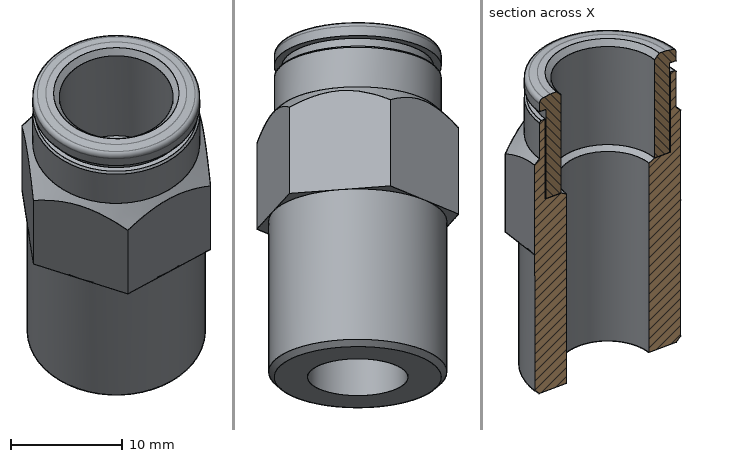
import cadquery as cq
import math

total_height = 31.5
body_diameter = 16.0
bottom_chamfer = 0.5
hex_bottom = 15.0
hex_top = 25.05
hex_across_flats = body_diameter
hex_across_corners = hex_across_flats / math.cos(math.pi / 6)
neck_diameter = 15.0
neck_top = 29.05
neck_chamfer = 0.2

stem_diameter = 13.6
stem_length = 9.45
flange_diameter = neck_diameter
flange_bottom = 30.0
flange_edge_height = 30.9
crown_outer_diameter = 14.15
crown_inner_diameter = 12.63
crown_rise = 0.13
sleeve_bore = 10.2
mouth_diameter = 11.25
mouth_depth = (mouth_diameter - sleeve_bore) / 2

recess_diameter = 13.7
recess_bottom = flange_bottom - stem_length
through_bore = 9.0
seat_angle = math.radians(30)
seat_depth = (sleeve_bore - through_bore) / 2 * math.tan(seat_angle)


def cylinder(diameter, bottom, top):
    """Vertical cylinder on the common axis."""
    return cq.Workplane("XY").workplane(offset=bottom).circle(diameter / 2).extrude(top - bottom)


def cone(bottom_diameter, top_diameter, bottom, top):
    """Vertical truncated cone on the common axis."""
    base_center = cq.Vector(0, 0, bottom)
    solid = cq.Solid.makeCone(bottom_diameter / 2, top_diameter / 2, top - bottom, base_center)
    return cq.Workplane(obj=solid)


def make_hexagon():
    """Wrench hexagon whose upper corners are trimmed by a 45 degree cone."""
    hex_height = hex_top - hex_bottom
    prism = (
        cq.Workplane("XY")
        .workplane(offset=hex_bottom)
        .polygon(6, hex_across_corners)
        .extrude(hex_height)
    )
    trim_cone = cone(neck_diameter + 2 * hex_height, neck_diameter, hex_bottom, hex_top)
    return prism.intersect(trim_cone)


def make_housing():
    """Cylindrical body, hexagon and neck, bored through and recessed for the sleeve."""
    lower_body = cylinder(body_diameter, 0, hex_bottom).faces("<Z").chamfer(bottom_chamfer)
    neck = cylinder(neck_diameter, hex_top, neck_top).faces(">Z").chamfer(neck_chamfer)
    seat = cone(through_bore, sleeve_bore, recess_bottom - seat_depth, recess_bottom)
    return (
        lower_body.union(make_hexagon())
        .union(neck)
        .cut(cylinder(through_bore, 0, neck_top))
        .cut(seat)
        .cut(cylinder(recess_diameter, recess_bottom, neck_top))
    )


def make_flange():
    """Solid button: straight edge, rounded shoulder, shallow conical crown, flat top."""
    flange_radius = flange_diameter / 2
    crown_radius = crown_outer_diameter / 2
    crown_bottom = total_height - crown_rise
    shoulder_width = flange_radius - crown_radius
    shoulder_height = crown_bottom - flange_edge_height
    shoulder_middle = (
        crown_radius + shoulder_width * math.cos(math.pi / 4),
        flange_edge_height + shoulder_height * math.sin(math.pi / 4),
    )
    return (
        cq.Workplane("XZ")
        .moveTo(0, flange_bottom)
        .lineTo(flange_radius, flange_bottom)
        .lineTo(flange_radius, flange_edge_height)
        .threePointArc(shoulder_middle, (crown_radius, crown_bottom))
        .lineTo(crown_inner_diameter / 2, total_height)
        .lineTo(0, total_height)
        .close()
        .revolve(360, (0, 0, 0), (0, 1, 0))
    )


def make_sleeve():
    """Release sleeve standing on the recess floor, with a 45 degree countersunk mouth."""
    mouth = cone(sleeve_bore, mouth_diameter, total_height - mouth_depth, total_height)
    return (
        make_flange()
        .union(cylinder(stem_diameter, recess_bottom, flange_bottom))
        .cut(cylinder(sleeve_bore, recess_bottom, total_height))
        .cut(mouth)
    )


housing = make_housing()
sleeve = make_sleeve()
result = cq.Compound.makeCompound([housing.val(), sleeve.val()])